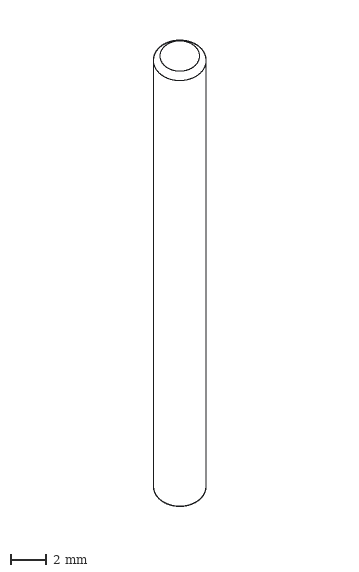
import cadquery as cq

pin_diameter = 3.0
total_length = 38.0
lower_length = 8.0
chamfer_size = 0.38

pin_radius = pin_diameter / 2
upper_length = total_length - lower_length


def lower_section():
    """Plain cylinder with a flat bottom end, ending at the seam on Z = 0."""
    return cq.Workplane("XY").circle(pin_radius).extrude(-lower_length)


def upper_section():
    """Cylinder rising from the seam, with a bevelled top end."""
    body = cq.Workplane("XY").circle(pin_radius).extrude(upper_length)
    return body.faces(">Z").edges().chamfer(chamfer_size)


result = lower_section().union(upper_section(), clean=False)